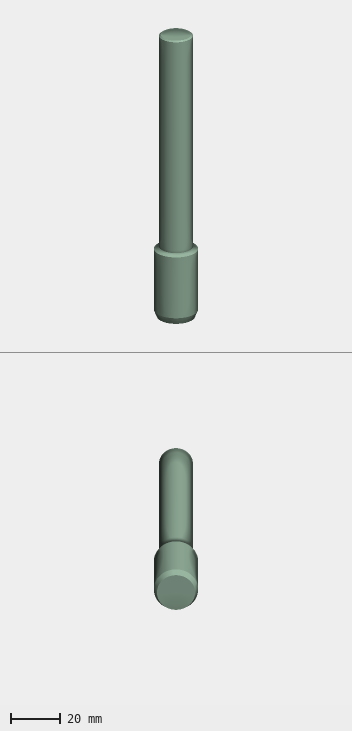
import cadquery as cq

total_length = 125.0
rod_radius = 6.9
rod_tip_height = 0.5
rod_tip_inset = 0.6

sleeve_radius = 9.0
sleeve_length = 31.0
sleeve_shoulder_height = 1.0
sleeve_nose_height = 3.0
sleeve_nose_inset = 1.2


def revolve_about_z(profile):
    """Turn a closed radius-height outline a full circle about the Z axis."""
    return profile.close().revolve(360, (0, 0, 0), (0, 1, 0))


def make_rod():
    """Plain round rod with a small chamfer at its upper end."""
    profile = (
        cq.Workplane("XZ")
        .lineTo(rod_radius, 0)
        .lineTo(rod_radius, total_length - rod_tip_height)
        .lineTo(rod_radius - rod_tip_inset, total_length)
        .lineTo(0, total_length)
    )
    return revolve_about_z(profile)


def make_sleeve():
    """Sleeve around the rod, with a conical shoulder and a tapered nose."""
    nose_radius = sleeve_radius - sleeve_nose_inset
    profile = (
        cq.Workplane("XZ")
        .moveTo(rod_radius, 0)
        .lineTo(nose_radius, 0)
        .lineTo(sleeve_radius, sleeve_nose_height)
        .lineTo(sleeve_radius, sleeve_length - sleeve_shoulder_height)
        .lineTo(rod_radius, sleeve_length)
    )
    return revolve_about_z(profile)


rod = make_rod()
sleeve = make_sleeve()

result = cq.Compound.makeCompound([rod.val(), sleeve.val()])